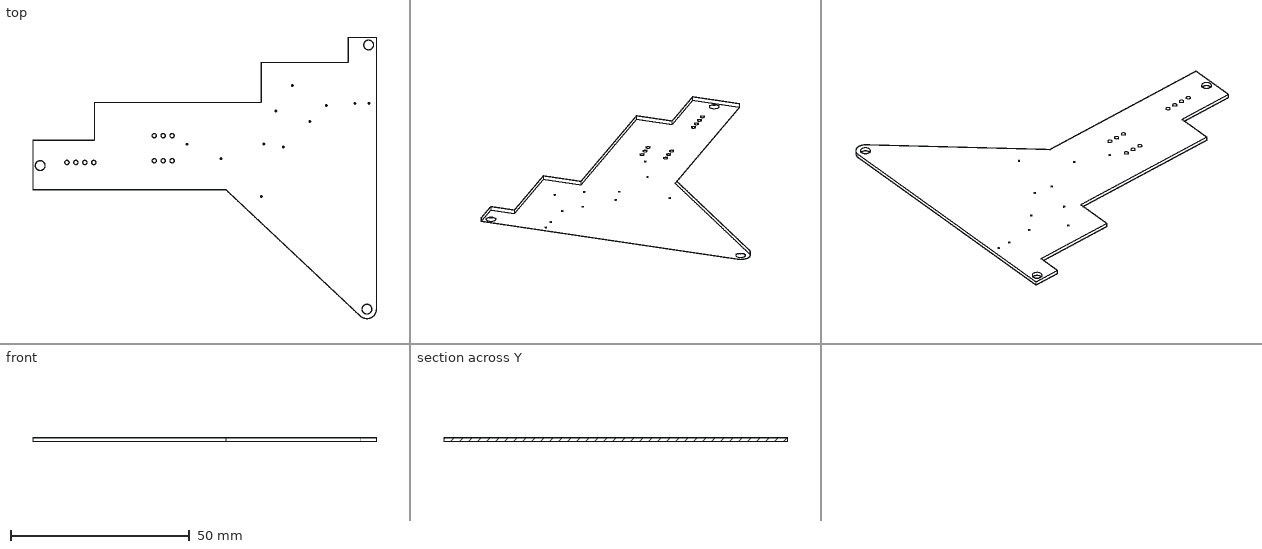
import cadquery as cq
import math

length = 96.1
width = 78.7
thickness = 1.2

step_1_x = 17.2
step_2_x = 63.8
step_3_x = 88.2
left_top_y = 50.0
middle_top_y = 60.6
right_top_y = 71.7

left_bottom_y = 36.1
knee_x = 54.0
tip_radius = 2.7
tip_center_x = length - tip_radius
tip_center_y = tip_radius

mounting_diameter = 2.7
left_mounting_center = (2.0, 42.9)
top_mounting_center = (93.9, 76.6)

pin_diameter = 1.2
pin_pitch = 2.5
four_pin_start = (9.5, 43.7)
three_pin_start_x = 33.9
upper_three_pin_y = 51.2
lower_three_pin_y = 44.2

via_diameter = 0.4
via_centers = [
    (43.1, 48.8),
    (52.6, 44.8),
    (63.9, 34.2),
    (64.6, 48.9),
    (68.0, 58.2),
    (70.1, 48.1),
    (72.6, 65.3),
    (77.5, 55.2),
    (82.1, 59.7),
    (90.1, 60.3),
    (94.0, 60.3),
]


def tip_point(angle):
    """Point on the tip circle at an angle in radians from +X."""
    x = tip_center_x + tip_radius * math.cos(angle)
    y = tip_center_y + tip_radius * math.sin(angle)
    return (x, y)


def make_board():
    """Flat board whose sloping edge runs tangent into the rounded tip."""
    knee_dx = knee_x - tip_center_x
    knee_dy = left_bottom_y - tip_center_y
    knee_angle = math.atan2(knee_dy, knee_dx)
    tangent_angle = knee_angle + math.acos(tip_radius / math.hypot(knee_dx, knee_dy))
    arc_end_angle = 2 * math.pi
    arc_middle_angle = (tangent_angle + arc_end_angle) / 2
    return (
        cq.Workplane("XY")
        .moveTo(0, left_bottom_y)
        .lineTo(knee_x, left_bottom_y)
        .lineTo(*tip_point(tangent_angle))
        .threePointArc(tip_point(arc_middle_angle), tip_point(arc_end_angle))
        .lineTo(length, width)
        .lineTo(step_3_x, width)
        .lineTo(step_3_x, right_top_y)
        .lineTo(step_2_x, right_top_y)
        .lineTo(step_2_x, middle_top_y)
        .lineTo(step_1_x, middle_top_y)
        .lineTo(step_1_x, left_top_y)
        .lineTo(0, left_top_y)
        .close()
        .extrude(thickness)
    )


def pin_row(start_x, y, count):
    """Centers of a row of evenly spaced pin holes along X."""
    return [(start_x + i * pin_pitch, y) for i in range(count)]


def make_holes(centers, diameter):
    """Cylinders that cut through the full thickness."""
    return cq.Workplane("XY").pushPoints(centers).circle(diameter / 2).extrude(thickness)


mounting_centers = [
    left_mounting_center,
    top_mounting_center,
    (tip_center_x, tip_center_y),
]
pin_centers = (
    pin_row(*four_pin_start, 4)
    + pin_row(three_pin_start_x, upper_three_pin_y, 3)
    + pin_row(three_pin_start_x, lower_three_pin_y, 3)
)

result = (
    make_board()
    .cut(make_holes(mounting_centers, mounting_diameter))
    .cut(make_holes(pin_centers, pin_diameter))
    .cut(make_holes(via_centers, via_diameter))
)